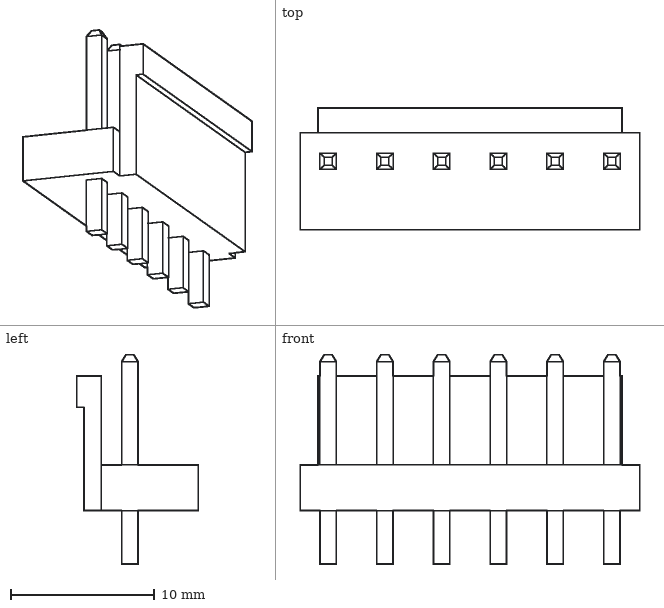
import cadquery as cq

base_length = 23.7
base_depth = 6.78
base_height = 3.2

wall_length = 21.2
wall_thickness = 1.2
wall_height = 9.4
lip_thickness = 1.73
lip_height = 2.2

pin_count = 6
pin_pitch = 3.95
pin_width = 1.14
pin_y = 4.79
pin_length = 14.6
pin_below_base = 3.72
tip_height = 0.47
tip_width = 0.57


def make_base():
    return cq.Workplane("XY").box(
        base_length, base_depth, base_height, centered=(True, False, False)
    )


def make_wall():
    """Wall profile in the YZ plane, extruded along X."""
    wall_back = base_depth + wall_thickness
    lip_back = base_depth + lip_thickness
    lip_bottom = wall_height - lip_height
    return (
        cq.Workplane("YZ")
        .moveTo(base_depth, 0)
        .lineTo(wall_back, 0)
        .lineTo(wall_back, lip_bottom)
        .lineTo(lip_back, lip_bottom)
        .lineTo(lip_back, wall_height)
        .lineTo(base_depth, wall_height)
        .close()
        .extrude(wall_length / 2, both=True)
    )


def make_pin(x):
    """Square pin with a tapered upper tip."""
    shaft_length = pin_length - tip_height
    shaft = (
        cq.Workplane("XY")
        .rect(pin_width, pin_width)
        .extrude(shaft_length)
    )
    tip = (
        cq.Workplane("XY")
        .workplane(offset=shaft_length)
        .rect(pin_width, pin_width)
        .workplane(offset=tip_height)
        .rect(tip_width, tip_width)
        .loft(ruled=True)
    )
    return shaft.union(tip).translate((x, pin_y, -pin_below_base))


result = make_base().union(make_wall())
for index in range(pin_count):
    pin_x = (index - (pin_count - 1) / 2) * pin_pitch
    result = result.union(make_pin(pin_x))